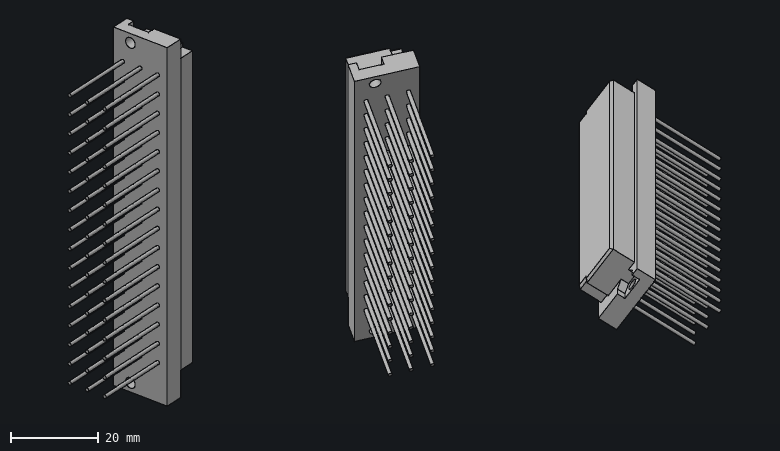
import cadquery as cq
import math

flange_width = 15.7
flange_thickness = 5.1
flange_height = 95.0

total_depth = 31.6
pin_length = 19.95
body_depth = total_depth - pin_length - flange_thickness
body_width = 13.4
body_height = 84.9
key_width = 2.85
key_height = 1.1
edge_chamfer_depth = 0.7
edge_chamfer_side = 0.6

pin_radius = 0.5
pin_rows = 16
pin_columns = 3
pin_span = 76.2
pin_pitch = pin_span / (pin_rows - 1)
pin_center_z = pin_pitch / 4
pin_embed = 0.95

hole_diameter = 2.8
hole_spacing = 90.1
hole_x = -2.85
pocket_depth = 2.1
nut_flats = hole_spacing - body_height
nut_corner_radius = nut_flats / math.sqrt(3)


def upright_prism(outline, y_start, depth):
    """Extrude an XZ outline toward +Y from y_start."""
    plane = cq.Workplane("XZ", origin=(0, y_start, 0))
    return plane.polyline(outline).close().extrude(-depth)


def make_flange():
    return cq.Workplane("XY").box(
        flange_width, flange_thickness, flange_height, centered=(True, False, True)
    )


def make_body():
    """Block with both +X corners stepped back as keys and its rear rim chamfered."""
    side = body_width / 2
    end = body_height / 2
    key_x = side - key_width
    key_z = end - key_height
    outline = [
        (-side, -end),
        (key_x, -end),
        (key_x, -key_z),
        (side, -key_z),
        (side, key_z),
        (key_x, key_z),
        (key_x, end),
        (-side, end),
    ]
    body = upright_prism(outline, flange_thickness, body_depth)
    return body.faces(">Y").chamfer(edge_chamfer_depth, edge_chamfer_side)


def make_pins():
    column_middle = (pin_columns - 1) / 2
    row_middle = (pin_rows - 1) / 2
    centers = [
        ((column - column_middle) * pin_pitch, pin_center_z + (row - row_middle) * pin_pitch)
        for column in range(pin_columns)
        for row in range(pin_rows)
    ]
    plane = cq.Workplane("XZ", origin=(0, pin_embed, 0))
    return plane.pushPoints(centers).circle(pin_radius).extrude(pin_length + pin_embed)


def make_mounting_cut(end):
    """Hole and nut pocket at one end of the flange: end is 1 for +Z, -1 for -Z."""
    hole_z = hole_spacing / 2
    hole = (
        cq.Workplane("XZ")
        .center(hole_x, end * hole_z)
        .circle(hole_diameter / 2)
        .extrude(-flange_thickness)
    )
    floor_z = body_height / 2
    half_floor = nut_corner_radius / 2
    mouth_z = flange_height / 2
    outline = [
        (hole_x - half_floor, end * floor_z),
        (hole_x + half_floor, end * floor_z),
        (hole_x + nut_corner_radius, end * hole_z),
        (hole_x + nut_corner_radius, end * mouth_z),
        (hole_x - nut_corner_radius, end * mouth_z),
        (hole_x - nut_corner_radius, end * hole_z),
    ]
    pocket = upright_prism(outline, flange_thickness - pocket_depth, pocket_depth)
    return hole.union(pocket)


flange = make_flange()
for end in (1, -1):
    flange = flange.cut(make_mounting_cut(end))

result = flange.union(make_body()).union(make_pins())